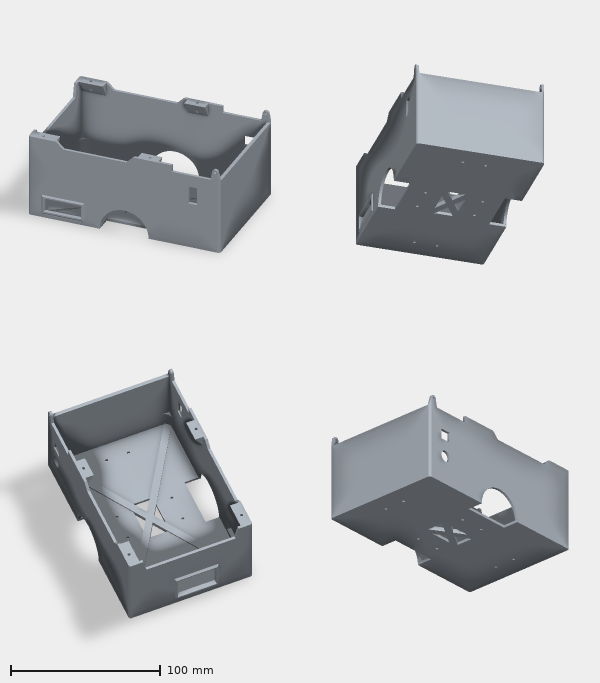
import cadquery as cq
import math

overall_length = 141.0
length = 139.5
width = 90.0
total_height = 63.0
wall = 2.0
end_wall = 2.5
floor = 2.0
left_corner_radius = 1.5
right_corner_radius = 2.0

tall_rim = 59.9
low_rim = 55.0
left_rim = 49.9

left_ledge_end = 20.3
dip_start = 25.4
dip_end = 71.3
right_ledge_start = 76.3
right_ledge_end = 104.2

notch_top_width = 69.5
notch_bottom_width = 65.0

lug_start = 132.4
lug_radius = 2.1
lug_x = 135.6
lug_z = total_height - lug_radius
lug_hole = 1.7

block_reach = 8.0
block_height = 10.0
left_block_length = 19.9
right_block_start = 79.0
right_block_length = 15.1
screw_hole = 2.0
screw_x = (9.6, 86.9)
screw_inset = 4.0

middle_x = length / 2
arch_radius = 17.8
floor_opening_depth = 12.0
center_opening_length = 29.6
center_opening_width = 16.5
end_hole_spacing = (110.0, 16.0)
middle_hole_spacing = (18.6, 40.0)
rib_width = 5.1
rib_angle = 32.2
rib_top = 3.0
corner_fill_radius = 6.0
corner_fill_top = 14.1

frame_rim = 1.0
frame_slope = 1.0
left_window_width = 28.2
left_window_height = 18.0
left_window_y = -4.0
left_window_z = 16.6
left_frame_depth = overall_length - length
front_window_width = 27.1
front_window_height = 10.2
front_window_x = 25.2
front_window_z = 10.0
front_frame_depth = 1.0

switch_width = 6.3
switch_height = 12.8
switch_x = 119.5
port_size = 8.0
port_height = 7.3
port_x = 123.8
openings_bottom = 33.4
jack_hole = 8.0
jack_z = 21.3

half_width = width / 2
inner_half_width = half_width - wall
inner_right = length - end_wall
inner_length = inner_right - wall


def box(x_start, x_end, y_start, y_end, z_start, z_end):
    size = (x_end - x_start, y_end - y_start, z_end - z_start)
    return cq.Workplane("XY").box(*size, centered=False).translate((x_start, y_start, z_start))


def outer_block():
    block = box(0, length, -half_width, half_width, 0, total_height)
    block = block.edges("|Z and <X").fillet(left_corner_radius)
    return block.edges("|Z and >X").fillet(right_corner_radius)


def cavity():
    return box(wall, inner_right, -inner_half_width, inner_half_width, floor, total_height)


def side_outline():
    """Outline of both side walls, with the lug tangent to its two straight flanks."""

    def flank_touch(x_foot, side):
        run = x_foot - lug_x
        drop = low_rim - lug_z
        angle = math.atan2(drop, run) + side * math.acos(lug_radius / math.hypot(run, drop))
        return lug_x + lug_radius * math.cos(angle), lug_z + lug_radius * math.sin(angle)

    outline = (
        cq.Workplane("XZ")
        .moveTo(0, 0)
        .lineTo(length, 0)
        .lineTo(length, low_rim)
        .lineTo(*flank_touch(length, 1))
        .threePointArc((lug_x, total_height), flank_touch(lug_start, -1))
        .lineTo(lug_start, low_rim)
        .lineTo(right_ledge_end, low_rim)
        .lineTo(right_ledge_end, tall_rim)
        .lineTo(right_ledge_start, tall_rim)
        .lineTo(dip_end, low_rim)
        .lineTo(dip_start, low_rim)
        .lineTo(left_ledge_end, tall_rim)
        .lineTo(0, tall_rim)
        .close()
    )
    return outline.extrude(half_width, both=True)


def left_notch():
    """Flared notch, its sides carried on straight up past the rim."""
    slope = (notch_top_width - notch_bottom_width) / (tall_rim - left_rim)
    open_width = notch_bottom_width + slope * (total_height - left_rim)
    return (
        cq.Workplane("YZ")
        .moveTo(-notch_bottom_width / 2, left_rim)
        .lineTo(notch_bottom_width / 2, left_rim)
        .lineTo(open_width / 2, total_height)
        .lineTo(-open_width / 2, total_height)
        .close()
        .extrude(wall)
    )


def right_wall_relief():
    return box(inner_right, length, -inner_half_width, inner_half_width, low_rim, total_height)


def screw_block(x_start, block_length):
    """Wedge on the +Y wall: flat on top, sloping back to the wall below."""
    return (
        cq.Workplane("YZ")
        .moveTo(inner_half_width, tall_rim)
        .lineTo(half_width - block_reach, tall_rim)
        .lineTo(inner_half_width, tall_rim - block_height)
        .close()
        .extrude(block_length)
        .translate((x_start, 0, 0))
    )


def screw_blocks():
    blocks = screw_block(wall, left_block_length - wall)
    blocks = blocks.union(screw_block(right_block_start, right_block_length))
    return blocks.union(blocks.mirror("XZ"))


def screw_holes():
    """Holes down through the wedges."""
    points = [(x, side * (half_width - screw_inset)) for x in screw_x for side in (-1, 1)]
    plane = cq.Workplane("XY", origin=(0, 0, tall_rim))
    return plane.pushPoints(points).circle(screw_hole / 2).extrude(-block_height)


def crossed_ribs():
    diagonal = math.hypot(inner_length, 2 * inner_half_width)
    ribs = cq.Workplane("XY")
    for direction in (-1, 1):
        rib = cq.Workplane("XY").rect(diagonal, rib_width).extrude(rib_top)
        ribs = ribs.union(rib.rotate((0, 0, 0), (0, 0, 1), direction * rib_angle))
    ribs = ribs.translate((middle_x, 0, 0))
    return ribs.intersect(box(wall, inner_right, -inner_half_width, inner_half_width, 0, rib_top))


def corner_fills():
    """Concave quarter-round fill low in each inner corner."""
    space = box(wall, inner_right, -inner_half_width, inner_half_width, floor, corner_fill_top)
    return space.cut(space.edges("|Z").fillet(corner_fill_radius))


def floor_openings():
    openings = cq.Workplane("XY").center(middle_x, 0)
    openings = openings.rect(center_opening_length, center_opening_width).extrude(floor)
    x_range = (middle_x - arch_radius, middle_x + arch_radius)
    inner_edge = half_width - floor_opening_depth
    openings = openings.union(box(*x_range, -half_width, -inner_edge, 0, floor))
    return openings.union(box(*x_range, inner_edge, half_width, 0, floor))


def arches():
    cuts = cq.Workplane("XZ")
    for y_outside in (-inner_half_width, half_width):
        plane = cq.Workplane("XZ", origin=(middle_x, y_outside, 0))
        cuts = cuts.union(plane.circle(arch_radius).extrude(wall))
    return cuts


def floor_holes():
    holes = cq.Workplane("XY")
    for spacing in (end_hole_spacing, middle_hole_spacing):
        grid = cq.Workplane("XY").center(middle_x, 0).rect(*spacing, forConstruction=True)
        holes = holes.union(grid.vertices().circle(screw_hole / 2).extrude(floor))
    return holes


def frame(plane, window_width, window_height, depth):
    """Raised block around a window, sloping in to the flat rim."""
    border = 2 * (frame_rim + frame_slope)
    taper = math.degrees(math.atan2(frame_slope, depth))
    return plane.rect(window_width + border, window_height + border).extrude(depth, taper=taper)


def window(plane, window_width, window_height):
    """Opening through the wall and the frame, which stands out less than the wall is thick."""
    return plane.rect(window_width, window_height).extrude(wall, both=True)


left_plane = cq.Workplane(cq.Plane((0, left_window_y, left_window_z), (0, -1, 0), (-1, 0, 0)))
front_plane = cq.Workplane("XZ", origin=(front_window_x, -half_width, front_window_z))
left_window = (left_plane, left_window_width, left_window_height)
front_window = (front_plane, front_window_width, front_window_height)


def side_openings():
    switch = box(
        switch_x - switch_width / 2,
        switch_x + switch_width / 2,
        -half_width,
        -inner_half_width,
        openings_bottom,
        openings_bottom + switch_height,
    )
    port = box(
        port_x - port_size / 2,
        port_x + port_size / 2,
        inner_half_width,
        half_width,
        openings_bottom,
        openings_bottom + port_height,
    )
    jack = cq.Workplane("XZ", origin=(port_x, half_width, jack_z)).circle(jack_hole / 2).extrude(wall)
    return switch.union(port).union(jack)


def lug_holes():
    hole = cq.Workplane("XZ", origin=(lug_x, 0, lug_z)).circle(lug_hole / 2)
    return hole.extrude(half_width, both=True)


shell = outer_block().intersect(side_outline()).cut(cavity())
shell = shell.cut(left_notch()).cut(right_wall_relief())
shell = shell.union(corner_fills()).cut(floor_openings())
shell = shell.cut(arches())
shell = shell.cut(floor_holes()).union(crossed_ribs())
shell = shell.union(screw_blocks()).cut(screw_holes())
shell = shell.union(frame(*left_window, left_frame_depth)).union(frame(*front_window, front_frame_depth))
shell = shell.cut(window(*left_window)).cut(window(*front_window))
result = shell.cut(side_openings()).cut(lug_holes())